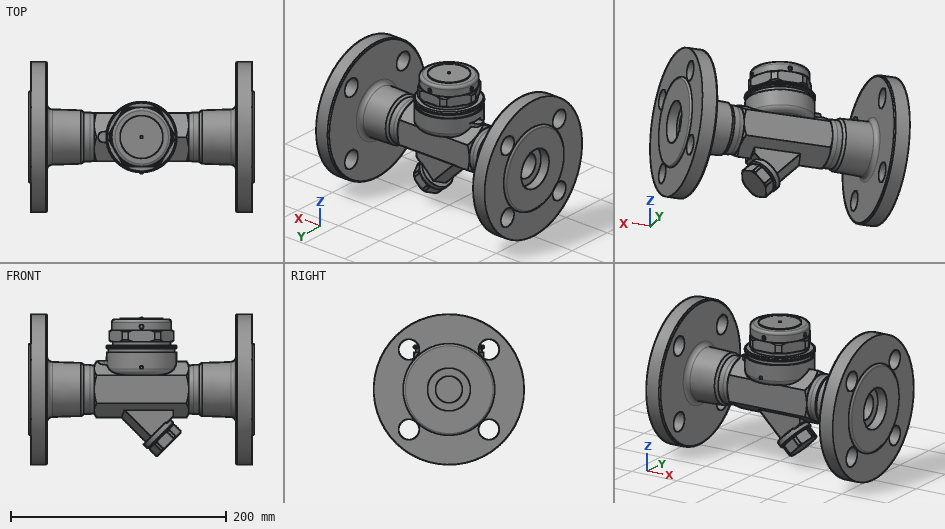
import cadquery as cq
import math

length = 210.0

flange_dia = 140.0
flange_back_x = 87.5
flange_edge_chamfer = 1.3
raised_face_height = 2.0
raised_face_dia = 85.3
raised_face_fillet = 1.9
bolt_circle_dia = 105.0
bolt_hole_dia = 19.0
bolt_count = 4

neck_fillet = 4.6
neck_root_radius = 25.8
neck_end_radius = 25.0
neck_end_x = 56.3
weld_ring_dia = 46.0
weld_ring_start_x = 53.5
weld_ring_end_x = 48.3
neck_tip_radius = 22.3
neck_overlap = 2.0

socket_dia = 40.0
socket_depth = 9.9
bore_dia = 25.0

body_length = 87.8
body_flats = 45.2
body_end_angle = 30.0

bonnet_dia = 65.0
bonnet_bottom_z = 13.5
bonnet_bottom_fillet = 5.7
bonnet_top_z = 34.5
groove_dia = 62.0
gasket_dia = 66.0
gasket_bottom_z = 37.8
gasket_top_z = 41.2
gasket_chamfer = 1.3
cap_neck_dia = 54.0
cap_hex_bottom_z = 44.5
cap_hex_top_z = 55.0
cap_hex_flats = 55.0
cap_hex_dia = 60.3
cap_hex_chamfer = 1.5
cap_dia = 55.5
cap_top_z = 66.2
cap_disc_dia = 40.0
cap_disc_height = 0.8
cap_edge_fillet = 3.0

bead_dia = 3.0
top_bead_height = 0.8
side_bead_z = 20.5
side_bead_tip = 34.2
cap_hole_dia = 3.8
cap_hole_z = 58.4
cap_hole_depth = 2.0
cap_hole_count = 4
pad_x = 35.3
pad_dia = 10.0
pad_top_z = 26.9
pad_fillet = 3.2

branch_angle = 45.0
branch_axis_x = -25.2
branch_flats = 24.0
branch_end = 56.5
branch_side_x = 29.6
collar_dia = 34.0
collar_start = 55.2
collar_end = 61.7
collar_chamfer = 1.3
plug_end = 72.0
plug_flats = 29.6
plug_dia = 32.5
plug_chamfer = 0.8

half_length = length / 2
flange_face_x = half_length - raised_face_height
body_end_x = body_length / 2


def hex_corners(flats):
    """Corner-to-corner size of a hexagon with the given distance across flats."""
    return flats / math.cos(math.radians(30))


def chamfered_disc(dia, start, end, chamfer):
    """Disc along Z with both rims chamfered."""
    return (
        cq.Workplane("XY")
        .workplane(offset=start)
        .circle(dia / 2)
        .extrude(end - start)
        .edges()
        .chamfer(chamfer)
    )


def rounded_hex(flats, dia, start, end, chamfer):
    """Hexagonal nut along Z, flats facing Y, its corners turned to a chamfered disc."""
    prism = (
        cq.Workplane("XY")
        .workplane(offset=start)
        .polygon(6, hex_corners(flats))
        .extrude(end - start)
    )
    return prism.intersect(chamfered_disc(dia, start, end, chamfer))


def end_connection():
    """Flange, neck and weld ring on the +X end, turned about X."""
    flange_radius = flange_dia / 2
    raised_radius = raised_face_dia / 2
    ring_radius = weld_ring_dia / 2
    rim_mid = raised_face_fillet * (1 - math.sqrt(0.5))
    fillet_mid = neck_fillet * (1 - math.sqrt(0.5))
    profile = (
        cq.Workplane("XY")
        .moveTo(body_end_x - neck_overlap, 0)
        .lineTo(body_end_x - neck_overlap, neck_tip_radius)
        .lineTo(body_end_x, neck_tip_radius)
        .lineTo(weld_ring_end_x, ring_radius)
        .lineTo(weld_ring_start_x, ring_radius)
        .lineTo(neck_end_x, neck_end_radius)
        .lineTo(flange_back_x - neck_fillet, neck_root_radius)
        .threePointArc(
            (flange_back_x - fillet_mid, neck_root_radius + fillet_mid),
            (flange_back_x, neck_root_radius + neck_fillet),
        )
        .lineTo(flange_back_x, flange_radius - flange_edge_chamfer)
        .lineTo(flange_back_x + flange_edge_chamfer, flange_radius)
        .lineTo(flange_face_x, flange_radius)
        .lineTo(flange_face_x, raised_radius)
        .lineTo(half_length - raised_face_fillet, raised_radius)
        .threePointArc(
            (half_length - rim_mid, raised_radius - rim_mid),
            (half_length, raised_radius - raised_face_fillet),
        )
        .lineTo(half_length, 0)
        .close()
    )
    turned = profile.revolve(360, (0, 0, 0), (1, 0, 0))
    bolt_holes = (
        cq.Workplane("YZ")
        .workplane(offset=flange_back_x)
        .polarArray(bolt_circle_dia / 2, 180 / bolt_count, 360, bolt_count)
        .circle(bolt_hole_dia / 2)
        .extrude(half_length - flange_back_x)
    )
    return turned.cut(bolt_holes)


def flow_passage():
    """Socket and blind bore entering from the +X face, ending at the body."""
    socket = (
        cq.Workplane("YZ")
        .workplane(offset=half_length)
        .circle(socket_dia / 2)
        .extrude(-socket_depth)
    )
    bore = (
        cq.Workplane("YZ")
        .workplane(offset=half_length)
        .circle(bore_dia / 2)
        .extrude(body_end_x - half_length)
    )
    return socket.union(bore)


def both_ends(shape):
    """The shape together with its mirror image at the -X end."""
    return shape.union(shape.mirror("YZ"))


def body():
    """Hexagonal bar along X with its corners turned down at both ends."""
    corners = hex_corners(body_flats)
    corner_depth = (corners - body_flats) / 2
    corner_run = corner_depth * math.tan(math.radians(body_end_angle))
    bar = (
        cq.Workplane("YZ")
        .workplane(offset=-body_end_x)
        .polygon(6, corners)
        .extrude(body_length)
        .rotate((0, 0, 0), (1, 0, 0), 90)
    )
    envelope = (
        cq.Workplane("YZ")
        .workplane(offset=-body_end_x)
        .circle(corners / 2)
        .extrude(body_length)
    )
    for end in ("<X", ">X"):
        envelope = envelope.faces(end).chamfer(corner_run, corner_depth)
    return bar.intersect(envelope)


def bonnet():
    """Round bonnet with gasket, hexagonal cap nut and round cap."""
    bowl = (
        cq.Workplane("XY")
        .workplane(offset=bonnet_bottom_z)
        .circle(bonnet_dia / 2)
        .extrude(bonnet_top_z - bonnet_bottom_z)
        .faces("<Z")
        .edges()
        .fillet(bonnet_bottom_fillet)
    )
    groove = (
        cq.Workplane("XY")
        .workplane(offset=bonnet_top_z)
        .circle(groove_dia / 2)
        .extrude(gasket_bottom_z - bonnet_top_z)
    )
    gasket = chamfered_disc(gasket_dia, gasket_bottom_z, gasket_top_z, gasket_chamfer)
    cap_neck = (
        cq.Workplane("XY")
        .workplane(offset=gasket_top_z)
        .circle(cap_neck_dia / 2)
        .extrude(cap_hex_bottom_z - gasket_top_z)
    )
    cap_nut = rounded_hex(
        cap_hex_flats, cap_hex_dia, cap_hex_bottom_z, cap_hex_top_z, cap_hex_chamfer
    )
    return bowl.union(groove).union(gasket).union(cap_neck).union(cap_nut).union(cap())


def cap():
    """Cap with a rounded rim, a shallow raised disc on top and holes around its side."""
    radius = cap_dia / 2
    shoulder_z = cap_top_z - cap_disc_height
    rim_mid = cap_edge_fillet * (1 - math.sqrt(0.5))
    turned = (
        cq.Workplane("XZ")
        .moveTo(0, cap_hex_top_z)
        .lineTo(radius, cap_hex_top_z)
        .lineTo(radius, shoulder_z - cap_edge_fillet)
        .threePointArc(
            (radius - rim_mid, shoulder_z - rim_mid),
            (radius - cap_edge_fillet, shoulder_z),
        )
        .lineTo(cap_disc_dia / 2, shoulder_z)
        .lineTo(cap_disc_dia / 2, cap_top_z)
        .lineTo(0, cap_top_z)
        .close()
        .revolve(360, (0, 0, 0), (0, 1, 0))
    )
    hole = (
        cq.Workplane("XZ", origin=(0, 0, cap_hole_z))
        .workplane(offset=radius - cap_hole_depth)
        .circle(cap_hole_dia / 2)
        .extrude(2 * cap_hole_depth)
    )
    for index in range(cap_hole_count):
        angle = index * 360 / cap_hole_count
        turned = turned.cut(hole.rotate((0, 0, 0), (0, 0, 1), angle))
    return turned


def beads():
    """Small round beads at the centre of the cap and on the -Y side of the bonnet."""
    bead = cq.Workplane("XY").sphere(bead_dia / 2)
    top_bead = bead.translate((0, 0, cap_top_z + top_bead_height - bead_dia / 2))
    side_bead = bead.translate((0, bead_dia / 2 - side_bead_tip, side_bead_z))
    return top_bead.union(side_bead)


def body_and_bonnet():
    """Body with bonnet and pad, the two corners between pad and bonnet rounded."""
    shape = body().union(bonnet()).union(pad())
    corner_y = pad_dia / 2
    corner_x = -math.sqrt((bonnet_dia / 2) ** 2 - corner_y ** 2)
    for side in (-1, 1):
        corner = (corner_x, side * corner_y, pad_top_z - pad_fillet)
        shape = shape.edges(cq.NearestToPointSelector(corner)).fillet(pad_fillet)
    return shape


def pad():
    """Round-ended pad standing on the top ridge, beside the bonnet."""
    return (
        cq.Workplane("XY")
        .moveTo(-pad_x / 2, 0)
        .rect(pad_x, pad_dia)
        .extrude(pad_top_z)
        .union(cq.Workplane("XY").center(-pad_x, 0).circle(pad_dia / 2).extrude(pad_top_z))
    )


def branch():
    """Sloping strainer branch: half-hexagonal web, round collar and hexagonal plug."""
    angle = math.radians(branch_angle)
    axis = cq.Plane(
        origin=(branch_axis_x, 0, 0),
        xDir=(math.sin(angle), 0, math.cos(angle)),
        normal=(math.cos(angle), 0, -math.sin(angle)),
    )
    corner = hex_corners(branch_flats) / 2
    half_width = branch_flats / 2
    web = (
        cq.Workplane(axis)
        .moveTo(body_length, -half_width)
        .lineTo(-corner / 2, -half_width)
        .lineTo(-corner, 0)
        .lineTo(-corner / 2, half_width)
        .lineTo(body_length, half_width)
        .close()
        .extrude(branch_end)
    )
    web_limits = (
        cq.Workplane("XY")
        .moveTo(branch_side_x - body_length / 2, 0)
        .rect(body_length, flange_dia)
        .extrude(-flange_dia)
    )
    collar = (
        cq.Workplane("XY")
        .workplane(offset=collar_start)
        .circle(collar_dia / 2)
        .extrude(collar_end - collar_start)
        .faces(">Z")
        .chamfer(collar_chamfer)
    )
    plug = rounded_hex(plug_flats, plug_dia, collar_end, plug_end, plug_chamfer)
    fittings = (
        collar
        .union(plug)
        .rotate((0, 0, 0), (0, 1, 0), 90 + branch_angle)
        .translate((branch_axis_x, 0, 0))
    )
    return web.intersect(web_limits).union(fittings)


result = (
    both_ends(end_connection())
    .union(body_and_bonnet())
    .union(branch())
    .cut(both_ends(flow_passage()))
    .union(beads())
)